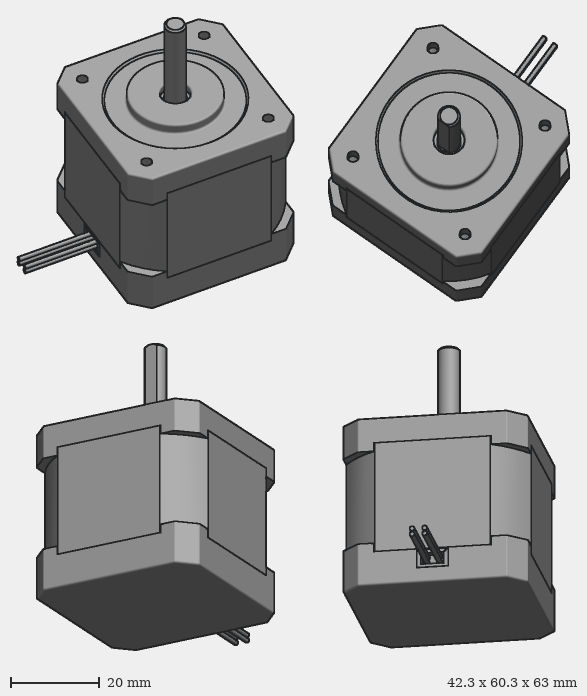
import cadquery as cq
import math

CAP_WIDTH = 42.3
CAP_CORNER_CUT = 4.1
CAP_EDGE_RADIUS = 0.5
BODY_HEIGHT = 40.0
BOTTOM_CAP_TOP = 10.0
TOP_CAP_BOTTOM = BODY_HEIGHT - 8.0

CORE_WIDTH = 42.32
CORE_CORNER_RADIUS = 24.95
CORE_BURY = 2.0
CORE_BOTTOM = BOTTOM_CAP_TOP - CORE_BURY
CORE_TOP = TOP_CAP_BOTTOM + CORE_BURY
CORE_SLOT_WIDTH = 26.8
CORE_SLOT_DEPTH = 0.3

RING_RIM_RADIUS = 16.5
RING_FLOOR_RADIUS = 16.0
RING_DEPTH = 0.5
BOSS_RADIUS = 11.0
BOSS_HEIGHT = 2.0
BOSS_EDGE_RADIUS = 0.5
BOSS_ROOT_RADIUS = 0.5
BOSS_TOP = BODY_HEIGHT + BOSS_HEIGHT

BORE_RADIUS = 3.5
BORE_DEPTH = 2.0
BORE_EDGE_RADIUS = 0.5
CLEARANCE_RADIUS = 2.7
CLEARANCE_DEPTH = 1.0

SHAFT_RADIUS = 2.5
SHAFT_FLAT_Y = 2.0
SHAFT_CHAMFER = 0.5
SHAFT_TOP = 63.0
SHAFT_BOTTOM = BODY_HEIGHT / 2

MOUNT_PITCH = 31.0
MOUNT_DIAMETER = 2.5
MOUNT_DEPTH = 4.5
MOUNT_TIP_ANGLE = 118.0

SOCKET_WIDTH = 7.2
SOCKET_BOTTOM = 3.5
SOCKET_TOP = 7.8
SOCKET_PROUD = 0.1
POCKET_WIDTH = 5.2
POCKET_BOTTOM = 4.25
POCKET_TOP = 6.95
POCKET_DEPTH = 2.0
KEY_TOP_WIDTH = POCKET_WIDTH + 2 * (SOCKET_TOP - POCKET_TOP)
KEY_DEPTH = 0.2

WIRE_DIAMETER = 1.1
WIRE_END_Y = -39.15
WIRE_COLUMN_PITCH = 2.88
WIRE_ROW_PITCH = 1.3
WIRE_MID_Z = 5.74

FRONT_Y = -CAP_WIDTH / 2
SOCKET_FACE_Y = FRONT_Y - SOCKET_PROUD


def block(width, depth, bottom, top, center_y=0.0):
    """Box centred on X, spanning bottom to top in Z."""
    return (
        cq.Workplane("XY", origin=(0, center_y, bottom))
        .rect(width, depth)
        .extrude(top - bottom)
    )


def make_caps():
    """Both end caps, cut from one filleted block."""
    body = block(CAP_WIDTH, CAP_WIDTH, 0, BODY_HEIGHT)
    body = body.edges("|Z").chamfer(CAP_CORNER_CUT)
    body = body.edges().fillet(CAP_EDGE_RADIUS)
    gap = block(2 * CAP_WIDTH, 2 * CAP_WIDTH, BOTTOM_CAP_TOP, TOP_CAP_BOTTOM)
    caps = body.cut(gap)
    for side in (-1, 1):
        caps = caps.cut(
            block(CORE_SLOT_WIDTH, 2 * CORE_SLOT_DEPTH, CORE_BOTTOM, CORE_TOP, side * CAP_WIDTH / 2)
        )
    return caps


def make_core():
    """Stator core: a square block trimmed by a cylinder."""
    cylinder = (
        cq.Workplane("XY", origin=(0, 0, CORE_BOTTOM))
        .circle(CORE_CORNER_RADIUS)
        .extrude(CORE_TOP - CORE_BOTTOM)
    )
    return block(CORE_WIDTH, CORE_WIDTH, CORE_BOTTOM, CORE_TOP).intersect(cylinder)


def make_ring_cutter():
    """Shallow sunken disc with a tapered wall; the boss stands in its middle."""
    floor_z = BODY_HEIGHT - RING_DEPTH
    profile = (
        cq.Workplane("XZ")
        .moveTo(0, floor_z)
        .lineTo(RING_FLOOR_RADIUS, floor_z)
        .lineTo(RING_RIM_RADIUS, BODY_HEIGHT)
        .lineTo(0, BODY_HEIGHT)
        .close()
    )
    return profile.revolve(360, (0, 0, 0), (0, 1, 0))


def make_boss():
    """Pilot boss with a rounded top edge and a filleted root."""
    floor_z = BODY_HEIGHT - RING_DEPTH
    diagonal = math.sqrt(0.5)
    root_mid = (
        BOSS_RADIUS + BOSS_ROOT_RADIUS * (1 - diagonal),
        floor_z + BOSS_ROOT_RADIUS * (1 - diagonal),
    )
    edge_mid = (
        BOSS_RADIUS - BOSS_EDGE_RADIUS * (1 - diagonal),
        BOSS_TOP - BOSS_EDGE_RADIUS * (1 - diagonal),
    )
    profile = (
        cq.Workplane("XZ")
        .moveTo(0, floor_z)
        .lineTo(BOSS_RADIUS + BOSS_ROOT_RADIUS, floor_z)
        .threePointArc(root_mid, (BOSS_RADIUS, floor_z + BOSS_ROOT_RADIUS))
        .lineTo(BOSS_RADIUS, BOSS_TOP - BOSS_EDGE_RADIUS)
        .threePointArc(edge_mid, (BOSS_RADIUS - BOSS_EDGE_RADIUS, BOSS_TOP))
        .lineTo(0, BOSS_TOP)
        .close()
    )
    return profile.revolve(360, (0, 0, 0), (0, 1, 0))


def cut_bore(body):
    """Round-edged bore with a narrow clearance gap around the shaft at its floor."""
    top_face = cq.Workplane("XY", origin=(0, 0, BOSS_TOP))
    body = body.cut(top_face.circle(BORE_RADIUS).extrude(-BORE_DEPTH))
    boss_face = cq.selectors.NearestToPointSelector((0, 0, BOSS_TOP))
    smallest_circle = cq.selectors.RadiusNthSelector(0)
    body = body.faces(boss_face).edges(smallest_circle).fillet(BORE_EDGE_RADIUS)
    return body.cut(top_face.circle(CLEARANCE_RADIUS).extrude(-BORE_DEPTH - CLEARANCE_DEPTH))


def make_shaft():
    """Round shaft with a chamfered tip and a flat on its +Y side."""
    shaft = (
        cq.Workplane("XY", origin=(0, 0, SHAFT_BOTTOM))
        .circle(SHAFT_RADIUS)
        .extrude(SHAFT_TOP - SHAFT_BOTTOM)
        .faces(">Z")
        .chamfer(SHAFT_CHAMFER)
    )
    flat_cut = block(
        2 * SHAFT_RADIUS, SHAFT_RADIUS, SHAFT_BOTTOM, SHAFT_TOP, SHAFT_FLAT_Y + SHAFT_RADIUS / 2
    )
    return shaft.cut(flat_cut)


def make_mount_holes():
    """Four drilled holes with conical tips, each revolved about its own axis."""
    radius = MOUNT_DIAMETER / 2
    tip = radius / math.tan(math.radians(MOUNT_TIP_ANGLE / 2))
    hole = (
        cq.Workplane("XZ")
        .moveTo(0, 0)
        .lineTo(radius, 0)
        .lineTo(radius, -MOUNT_DEPTH)
        .lineTo(0, -MOUNT_DEPTH - tip)
        .close()
        .revolve(360, (0, 0, 0), (0, 1, 0))
        .val()
    )
    return (
        cq.Workplane("XY", origin=(0, 0, BODY_HEIGHT))
        .rect(MOUNT_PITCH, MOUNT_PITCH, forConstruction=True)
        .vertices()
        .eachpoint(lambda place: hole.located(place), combine=False)
    )


def add_socket(body):
    """Slightly proud frame with a deep pocket and a shallow flared key above it."""
    frame = block(SOCKET_WIDTH, 2 * SOCKET_PROUD, SOCKET_BOTTOM, SOCKET_TOP, FRONT_Y)
    pocket = block(POCKET_WIDTH, 2 * POCKET_DEPTH, POCKET_BOTTOM, POCKET_TOP, SOCKET_FACE_Y)
    key = (
        cq.Workplane("XZ", origin=(0, SOCKET_FACE_Y, 0))
        .moveTo(-POCKET_WIDTH / 2, POCKET_TOP)
        .lineTo(POCKET_WIDTH / 2, POCKET_TOP)
        .lineTo(KEY_TOP_WIDTH / 2, SOCKET_TOP)
        .lineTo(-KEY_TOP_WIDTH / 2, SOCKET_TOP)
        .close()
        .extrude(-KEY_DEPTH)
    )
    return body.union(frame).cut(pocket).cut(key)


def make_wires():
    """Straight wires running from the pocket floor to their free ends."""
    floor_y = SOCKET_FACE_Y + POCKET_DEPTH
    return (
        cq.Workplane("XZ", origin=(0, WIRE_END_Y, WIRE_MID_Z))
        .rarray(WIRE_COLUMN_PITCH, WIRE_ROW_PITCH, 2, 2)
        .circle(WIRE_DIAMETER / 2)
        .extrude(WIRE_END_Y - floor_y)
    )


result = make_caps().union(make_core())
result = result.cut(make_ring_cutter()).union(make_boss())
result = cut_bore(result).union(make_shaft())
result = result.cut(make_mount_holes())
result = add_socket(result).union(make_wires())